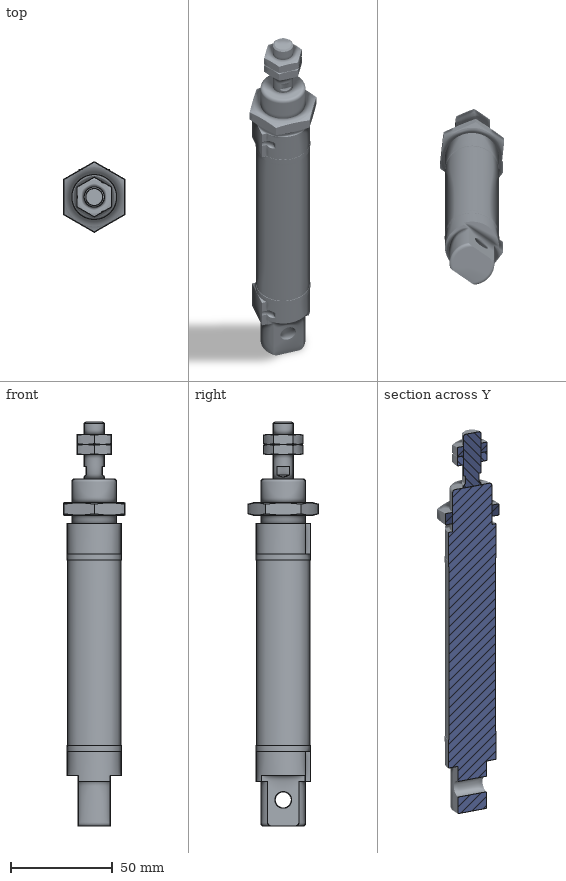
import cadquery as cq
import math


total_height = 199.0
rear_cap_bottom = 21.9
flat_top = 24.9
rear_cap_top = 36.8
rear_band_top = 39.8
front_band_bottom = 131.0
front_cap_bottom = 134.0
front_cap_top = 149.0
collar_top = 171.0

cap_diameter = 26.7
band_diameter = 26.9
barrel_diameter = 26.5
collar_diameter = 22.0
end_rounding = 1.5
flat_width = 16.0
eye_hole_diameter = 8.0
eye_hole_height = 13.0

boss_width = 15.1
boss_reach = band_diameter / 2
screw_hole_diameter = 4.4
screw_hole_offset = 9.4
screw_hole_end = 7.5
front_screw_height = 142.7
rear_screw_height = 29.7

rod_diameter = 10.0
rod_chamfer = 0.8
wrench_width = 8.0
wrench_bottom = 173.0
wrench_top = 177.0

mount_nut_width = 30.0
mount_nut_height = 6.2
mount_nut_bottom = 153.0
rod_nut_width = 17.0
rod_nut_height = 5.0
rod_nut_bottom = 182.9
rod_nut_count = 2
nut_chamfer_angle = 15.0
nut_face_ratio = 0.97


def disc(diameter, bottom, top):
    """Upright round bar between two heights."""
    return cq.Workplane("XY").workplane(offset=bottom).circle(diameter / 2).extrude(top - bottom)


def box(x_range, y_range, z_range):
    """Block given by its limits along each axis."""
    sizes = [high - low for low, high in (x_range, y_range, z_range)]
    return cq.Workplane("XY").box(*sizes, centered=False).translate((x_range[0], y_range[0], z_range[0]))


def make_eye():
    """Rear eye: a round stub with a rounded end."""
    eye = disc(collar_diameter, 0, rear_cap_bottom)
    return eye.faces("<Z").edges().fillet(end_rounding)


def cut_eye_flats(body):
    """Two parallel flats along the eye that run a little way into the rear cap."""
    half_flat = flat_width / 2
    for side in (-1, 1):
        x_range = sorted((side * half_flat, side * band_diameter))
        body = body.cut(box(x_range, (-band_diameter, band_diameter), (0, flat_top)))
    return body


def make_boss(bottom, top):
    """Square-edged port boss on the +Y side of a cap."""
    return box((-boss_width / 2, boss_width / 2), (0, boss_reach), (bottom, top))


def make_screw_hole(height):
    """Blind hole along Y, breaking out through the -X side of a boss."""
    hole = cq.Workplane("XZ").center(-screw_hole_offset, height).circle(screw_hole_diameter / 2)
    return hole.extrude(screw_hole_end - boss_reach).translate((0, screw_hole_end, 0))


def make_housing():
    collar = disc(collar_diameter, front_cap_top, collar_top)
    collar = collar.faces(">Z").edges().fillet(end_rounding)
    body = (
        make_eye()
        .union(disc(cap_diameter, rear_cap_bottom, rear_cap_top))
        .union(disc(band_diameter, rear_cap_top, rear_band_top))
        .union(disc(barrel_diameter, rear_band_top, front_band_bottom))
        .union(disc(band_diameter, front_band_bottom, front_cap_bottom))
        .union(disc(cap_diameter, front_cap_bottom, front_cap_top))
        .union(collar)
    )
    body = body.union(make_boss(rear_cap_bottom, rear_cap_top))
    body = body.union(make_boss(front_cap_bottom, front_cap_top))
    body = cut_eye_flats(body)
    for height in (rear_screw_height, front_screw_height):
        body = body.cut(make_screw_hole(height))
    eye_hole = cq.Workplane("YZ").center(0, eye_hole_height).circle(eye_hole_diameter / 2)
    return body.cut(eye_hole.extrude(band_diameter, both=True))


def make_rod():
    """Rod standing on the collar, with a wrench flat on each X side that slopes out at its foot."""
    rod = disc(rod_diameter, collar_top, total_height).faces(">Z").edges().chamfer(rod_chamfer)
    half_wrench = wrench_width / 2
    radius = rod_diameter / 2
    slope_bottom = wrench_bottom - (radius - half_wrench)
    for side in (-1, 1):
        notch = (
            cq.Workplane("XZ")
            .moveTo(side * half_wrench, wrench_top)
            .lineTo(side * half_wrench, wrench_bottom)
            .lineTo(side * radius, slope_bottom)
            .lineTo(side * radius, wrench_top)
            .close()
            .extrude(radius, both=True)
        )
        rod = rod.cut(notch)
    return rod


def make_nut(width, height, bore, bottom):
    """Hexagon nut with flats facing X and its corners turned off at both ends."""
    corner_radius = width / math.sqrt(3)
    face_radius = nut_face_ratio * width / 2
    corner_drop = (corner_radius - face_radius) * math.tan(math.radians(nut_chamfer_angle))
    hexagon = cq.Workplane("XY").polygon(6, 2 * corner_radius).extrude(height)
    hexagon = hexagon.rotate((0, 0, 0), (0, 0, 1), 30)
    turned = (
        cq.Workplane("XZ")
        .moveTo(bore / 2, 0)
        .lineTo(face_radius, 0)
        .lineTo(corner_radius, corner_drop)
        .lineTo(corner_radius, height - corner_drop)
        .lineTo(face_radius, height)
        .lineTo(bore / 2, height)
        .close()
        .revolve()
    )
    return hexagon.intersect(turned).translate((0, 0, bottom))


housing = make_housing()
rod = make_rod()
mount_nut = make_nut(mount_nut_width, mount_nut_height, collar_diameter, mount_nut_bottom)
rod_nuts = [
    make_nut(rod_nut_width, rod_nut_height, rod_diameter, rod_nut_bottom + index * rod_nut_height)
    for index in range(rod_nut_count)
]

result = cq.Compound.makeCompound(
    [housing.val(), rod.val(), mount_nut.val(), *[nut.val() for nut in rod_nuts]]
)